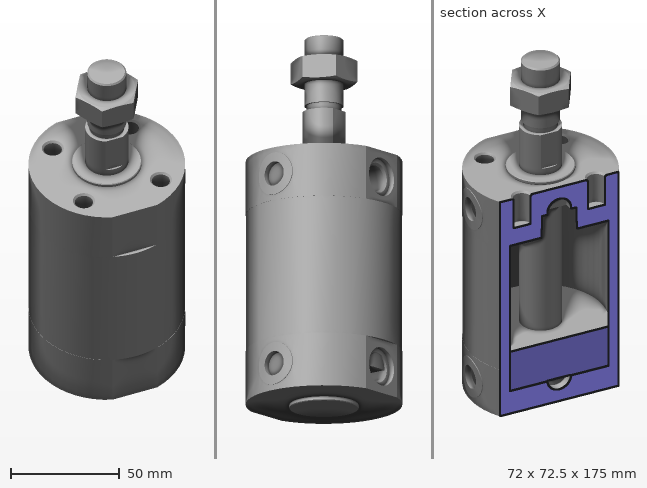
import cadquery as cq
import math


total_height = 175.0
tube_diameter = 72.0
cap_diameter = 72.1
cap_across_flats = 68.6
cap_height = 25.0
tube_length = 65.0
collar_diameter = 32.0
collar_height = 2.0
collar_chamfer = 0.4

bottom_cap_base = collar_height
tube_base = bottom_cap_base + cap_height
top_cap_base = tube_base + tube_length
top_cap_top = top_cap_base + cap_height
housing_top = top_cap_top + collar_height

bore_diameter = 63.0
bore_floor = 14.4
upper_chamber_diameter = 42.0
upper_chamber_ceiling = 103.5

port_diameter = 11.9
port_mouth_diameter = 14.0
port_cone_depth = 1.0
port_spotface_diameter = 18.0
port_spotface_depth = 2.6
port_depth = 19.2
cap_centers = (
    bottom_cap_base + cap_height / 2,
    top_cap_base + cap_height / 2,
)

boss_diameter = 20.0
boss_rise = 0.4
boss_hole_diameter = 11.4
boss_hole_depth = 3.5

mount_hole_diameter = 8.4
mount_hole_mouth_diameter = 10.2
mount_hole_depth = 15.8
mount_hole_spacing = 38.2

rod_diameter = 20.0
rod_across_flats = 18.0
rod_flat_base = 122.3
rod_shoulder = 140.2
neck_diameter = 16.1
thread_diameter = 18.0
thread_base = 143.3
thread_tip_chamfer = 0.7
piston_length = 21.0

nut_across_flats = 27.0
nut_base = 153.6
nut_height = 11.2
nut_face_diameter = 26.2
nut_chamfer_angle = 15.0


def cylinder(diameter, base, height):
    """Upright cylinder on the Z axis."""
    return cq.Workplane("XY").workplane(offset=base).circle(diameter / 2).extrude(height)


def make_cap(base):
    """Round end cap with two flats facing -X and +X."""
    flats = cq.Workplane("XY").box(
        cap_across_flats, 2 * cap_diameter, cap_height, centered=(True, True, False)
    )
    return cylinder(cap_diameter, base, cap_height).intersect(flats.translate((0, 0, base)))


def make_collar(base):
    """Thin disc with both rims chamfered."""
    return cylinder(collar_diameter, base, collar_height).edges().chamfer(collar_chamfer)


def make_port(height):
    """Spotface, cone and blind bore of a port, as one cutter revolved about a line along X."""
    spotface_floor = port_spotface_depth
    cone_end = spotface_floor + port_cone_depth
    profile = [
        (0, 0),
        (0, port_spotface_diameter / 2),
        (spotface_floor, port_spotface_diameter / 2),
        (spotface_floor, port_mouth_diameter / 2),
        (cone_end, port_diameter / 2),
        (port_depth, port_diameter / 2),
        (port_depth, 0),
    ]
    cutter = cq.Workplane("XZ").polyline(profile).close().revolve(360, (0, 0), (1, 0))
    return cutter.translate((-cap_across_flats / 2, 0, height))


def cylinder_along_y(diameter, start, length, height):
    """Cylinder along +Y that starts at y = start, at the given height."""
    return (
        cq.Workplane("XZ").circle(diameter / 2).extrude(-length)
        .translate((0, start, height))
    )


def add_boss(housing, height):
    """Add a low round boss that follows the cap's curve, with a blind hole in it."""
    crest = cap_diameter / 2 + boss_rise
    root = crest - boss_hole_depth
    envelope = cylinder(2 * crest, height - boss_diameter, 2 * boss_diameter)
    boss = cylinder_along_y(boss_diameter, root, boss_hole_depth, height).intersect(envelope)
    return housing.union(boss).cut(
        cylinder_along_y(boss_hole_diameter, root, boss_hole_depth, height)
    )


def make_mount_holes():
    """Cutters for blind holes with 45-degree mouths at the corners of a square."""
    mouth_depth = (mount_hole_mouth_diameter - mount_hole_diameter) / 2
    profile = [
        (0, 0),
        (mount_hole_mouth_diameter / 2, 0),
        (mount_hole_diameter / 2, -mouth_depth),
        (mount_hole_diameter / 2, -mount_hole_depth),
        (0, -mount_hole_depth),
    ]
    cutter = cq.Workplane("XZ").polyline(profile).close().revolve(360, (0, 0), (0, 1)).val()
    corners = (
        cq.Workplane("XY").workplane(offset=top_cap_top)
        .rect(mount_hole_spacing, mount_hole_spacing, forConstruction=True).vertices()
    )
    return corners.eachpoint(lambda place: cutter.moved(place))


def make_housing():
    """Tube, end caps and collars as one body, with its cavity, ports, bosses and holes."""
    housing = cylinder(tube_diameter, tube_base, tube_length)
    housing = housing.union(make_cap(bottom_cap_base)).union(make_cap(top_cap_base))
    housing = housing.union(make_collar(0)).union(make_collar(top_cap_top))

    housing = housing.cut(cylinder(bore_diameter, bore_floor, top_cap_base - bore_floor))
    housing = housing.cut(
        cylinder(upper_chamber_diameter, top_cap_base, upper_chamber_ceiling - top_cap_base)
    )
    housing = housing.cut(
        cylinder(rod_diameter, upper_chamber_ceiling, housing_top - upper_chamber_ceiling)
    )

    for height in cap_centers:
        housing = housing.cut(make_port(height))
        housing = add_boss(housing, height)

    return housing.cut(make_mount_holes())


def make_nut():
    """Solid hexagon with corners along Y, chamfered conically at both ends."""
    corner_radius = nut_across_flats / 2 / math.cos(math.radians(30))
    face_radius = nut_face_diameter / 2
    chamfer_height = (corner_radius - face_radius) * math.tan(math.radians(nut_chamfer_angle))
    hexagon = (
        cq.Workplane("XY").polygon(6, 2 * corner_radius).extrude(nut_height)
        .rotate((0, 0, 0), (0, 0, 1), 30)
    )
    cone_profile = [
        (0, 0),
        (face_radius, 0),
        (corner_radius, chamfer_height),
        (corner_radius, nut_height - chamfer_height),
        (face_radius, nut_height),
        (0, nut_height),
    ]
    envelope = cq.Workplane("XZ").polyline(cone_profile).close().revolve(360, (0, 0), (0, 1))
    return hexagon.intersect(envelope).translate((0, 0, nut_base))


def make_piston_rod():
    """Piston, rod with wrench flats, undercut neck, thread and nut as one body."""
    shank = cylinder(rod_diameter, bore_floor, rod_shoulder - bore_floor)
    flat_height = rod_shoulder - rod_flat_base
    for side in (-1, 1):
        flat_cut = cq.Workplane("XY").box(
            rod_diameter, rod_diameter, flat_height, centered=(True, True, False)
        )
        offset = side * (rod_across_flats + rod_diameter) / 2
        shank = shank.cut(flat_cut.translate((offset, 0, rod_flat_base)))

    piston = cylinder(bore_diameter, bore_floor, piston_length)
    neck = cylinder(neck_diameter, rod_shoulder, thread_base - rod_shoulder)
    thread = cylinder(thread_diameter, thread_base, total_height - thread_base)
    thread = thread.faces(">Z").chamfer(thread_tip_chamfer)
    return shank.union(piston).union(neck).union(thread).union(make_nut())


housing = make_housing()
piston_rod = make_piston_rod()

result = cq.Compound.makeCompound([housing.val(), piston_rod.val()])